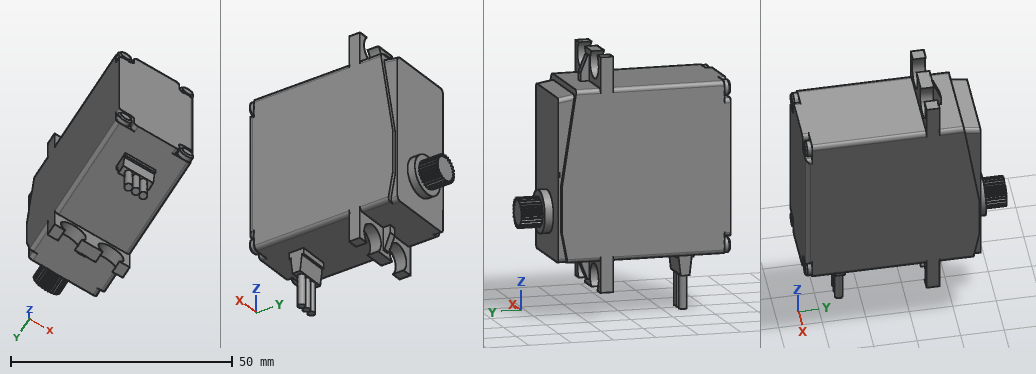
import cadquery as cq
import math


case_width = 20.0
case_height = 40.0
case_half_width = case_width / 2
mid_height = case_height / 2
edge_radius = 1.0
rear_cover_depth = 11.0

shoulder_bottom_y = 38.45
shoulder_peak_y = 39.8
shoulder_top_y = 36.4
shoulder_flat_bottom = 7.0
shoulder_flat_top = 18.0

lid_half_width = case_half_width - edge_radius
lid_front_y = 40.4
lid_top_front = 38.1
lid_top_rear = 38.85
lid_root_y = 36.0
lid_notch_height = 1.0
lid_notch_depth = 0.3
lid_notch_z = 20.4

flange_rear_y = 27.75
flange_thickness = 3.0
flange_front_y = flange_rear_y + flange_thickness
flange_height = 54.5
flange_reach = (flange_height - case_height) / 2
slot_radius = 3.35
slot_half_pitch_x = 5.0
slot_half_pitch_z = 24.75

rib_width = 1.8
rib_depth = 2.0
rib_tip_depth = 0.4
rib_square_reach = 2.0
rib_reach = 5.9

pocket_size = 4.0
pocket_depth = 1.5
pocket_radius = 1.0
screw_radius = 1.8
screw_inset = screw_radius
screw_chamfer = 0.4

outlet_width = 8.0
outlet_depth = 4.0
outlet_collar_drop = 1.5
outlet_drop = 5.75
outlet_y = rear_cover_depth - outlet_depth / 2
boot_root_depth = 3.1
boot_tip_depth = 2.1
wire_count = 3
wire_diameter = 1.85
wire_pitch = 1.95
overall_height = 61.0
wire_end_z = mid_height + flange_height / 2 - overall_height

shaft_z = 10.25
boss_diameter = 10.0
boss_front_y = 42.4
shaft_end_y = 47.4
tooth_count = 25
tooth_tip_radius = 3.5
tooth_root_radius = 3.0
tooth_pitch_angle = 2 * math.pi / tooth_count
tooth_tip_fraction = 0.2
tooth_root_fraction = 0.8
tooth_tip_half_angle = tooth_tip_fraction * tooth_pitch_angle / 2
tooth_root_half_angle = tooth_root_fraction * tooth_pitch_angle / 2
first_tooth_angle = math.pi / 2


def yz_prism(points, half_width):
    """Prism of a (y, z) outline, centred on X = 0."""
    return cq.Workplane("YZ").polyline(points).close().extrude(half_width, both=True)


def block(x_range, y_range, z_range):
    """Axis-aligned box between the given limits."""
    lows, highs = zip(x_range, y_range, z_range)
    sizes = [high - low for low, high in zip(lows, highs)]
    return cq.Workplane("XY").box(*sizes, centered=False).translate(lows)


def y_cylinder(x, z, radius, y_start, y_end):
    """Cylinder along Y."""
    plane = cq.Workplane("XZ", origin=(x, y_start, z))
    return plane.circle(radius).extrude(y_start - y_end)


def make_case():
    """Rounded case with its sloping front and one rounded upright edge at the rear."""
    front = yz_prism(
        [
            (0, 0),
            (shoulder_bottom_y, 0),
            (shoulder_peak_y, shoulder_flat_bottom),
            (shoulder_peak_y, shoulder_flat_top),
            (shoulder_top_y, case_height),
            (0, case_height),
        ],
        case_half_width,
    )
    envelope = block(
        (-case_half_width, case_half_width), (0, shoulder_peak_y), (0, case_height)
    )
    long_edges_rounded = envelope.edges("|Y").fillet(edge_radius)
    rear_edge_rounded = envelope.edges("|Z and >X and <Y").fillet(edge_radius)
    return long_edges_rounded.intersect(rear_edge_rounded).intersect(front)


def make_lid():
    """Raised lid with a sloping top end, rounded corners and a small notch in one side."""
    lid = yz_prism(
        [
            (lid_root_y, 0),
            (lid_front_y, 0),
            (lid_front_y, lid_top_front),
            (lid_root_y, lid_top_rear),
        ],
        lid_half_width,
    )
    lid = lid.faces("<Z").edges("|Y").fillet(edge_radius)
    lid = lid.faces(">Z").edges("not |X").fillet(edge_radius)
    notch = block(
        (-lid_half_width, -lid_half_width + lid_notch_depth),
        (lid_front_y - lid_notch_depth, lid_front_y),
        (lid_notch_z - lid_notch_height / 2, lid_notch_z + lid_notch_height / 2),
    )
    return lid.cut(notch)


def make_flange():
    """Flange with four open screw slots."""
    flange = block(
        (-case_half_width, case_half_width),
        (flange_rear_y, flange_front_y),
        (-flange_reach, case_height + flange_reach),
    )
    for side in (-1, 1):
        for end in (-1, 1):
            slot = y_cylinder(
                side * slot_half_pitch_x,
                mid_height + end * slot_half_pitch_z,
                slot_radius,
                flange_rear_y,
                flange_front_y,
            )
            flange = flange.cut(slot)
    return flange


def make_rib():
    """Tapering rib between the top of the case and the flange."""
    return yz_prism(
        [
            (flange_front_y, case_height),
            (flange_front_y + rib_depth, case_height),
            (flange_front_y + rib_depth, case_height + rib_square_reach),
            (flange_front_y + rib_tip_depth, case_height + rib_reach),
            (flange_front_y, case_height + rib_reach),
        ],
        rib_width / 2,
    )


def make_corner_pocket():
    """Cutter for the upper +X screw corner, flaring out where it meets the case sides."""
    wall_x = case_half_width - pocket_size
    wall_z = case_height - pocket_size
    bend = pocket_radius * (1 - math.sqrt(0.5))
    outline = (
        cq.Workplane("XZ")
        .moveTo(case_half_width, case_height)
        .lineTo(wall_x - pocket_radius, case_height)
        .threePointArc(
            (wall_x - bend, case_height - bend),
            (wall_x, case_height - pocket_radius),
        )
        .lineTo(wall_x, wall_z + pocket_radius)
        .threePointArc(
            (wall_x + bend, wall_z + bend),
            (wall_x + pocket_radius, wall_z),
        )
        .lineTo(case_half_width - pocket_radius, wall_z)
        .threePointArc(
            (case_half_width - bend, wall_z - bend),
            (case_half_width, wall_z - pocket_radius),
        )
        .close()
    )
    return outline.extrude(-pocket_depth)


def make_screw():
    """Chamfered screw head in the upper +X corner."""
    screw = y_cylinder(
        case_half_width - screw_inset, case_height - screw_inset, screw_radius, 0, pocket_depth
    )
    return screw.faces("<Y").chamfer(screw_chamfer)


def at_four_corners(shape):
    """Copies of an upper +X corner shape at all four corners of the case."""
    copies = []
    for right_or_left in (shape, shape.mirror("YZ")):
        copies.append(right_or_left)
        copies.append(right_or_left.mirror("XY", (0, 0, mid_height)))
    return copies


def make_cable_outlet():
    """Strain relief below the case with the wires leaving it."""
    outlet = block(
        (-outlet_width / 2, outlet_width / 2),
        (outlet_y - outlet_depth / 2, outlet_y + outlet_depth / 2),
        (-outlet_collar_drop, 0),
    )
    boot = yz_prism(
        [
            (outlet_y - boot_root_depth / 2, -outlet_collar_drop),
            (outlet_y + boot_root_depth / 2, -outlet_collar_drop),
            (outlet_y + boot_tip_depth / 2, -outlet_drop),
            (outlet_y - boot_tip_depth / 2, -outlet_drop),
        ],
        outlet_width / 2,
    )
    outlet = outlet.union(boot)
    for index in range(wire_count):
        x = (index - (wire_count - 1) / 2) * wire_pitch
        wire = cq.Workplane("XY", origin=(x, outlet_y, wire_end_z)).circle(wire_diameter / 2)
        outlet = outlet.union(wire.extrude(-outlet_drop - wire_end_z))
    return outlet


def make_housing():
    """Case, lid, flange, screws, cable outlet and shaft boss as one solid."""
    housing = make_case()
    for pocket in at_four_corners(make_corner_pocket()):
        housing = housing.cut(pocket)
    for screw in at_four_corners(make_screw()):
        housing = housing.union(screw)
    housing = housing.union(make_lid()).union(make_flange())
    rib = make_rib()
    housing = housing.union(rib).union(rib.mirror("XY", (0, 0, mid_height)))
    housing = housing.union(make_cable_outlet())
    return housing.union(y_cylinder(0, shaft_z, boss_diameter / 2, lid_front_y, boss_front_y))


def make_shaft():
    """Splined output shaft standing on the boss."""
    corners = [
        (-tooth_root_half_angle, tooth_root_radius),
        (-tooth_tip_half_angle, tooth_tip_radius),
        (tooth_tip_half_angle, tooth_tip_radius),
        (tooth_root_half_angle, tooth_root_radius),
    ]
    points = []
    for index in range(tooth_count):
        tooth_angle = first_tooth_angle + index * tooth_pitch_angle
        for offset, radius in corners:
            angle = tooth_angle + offset
            points.append((radius * math.cos(angle), radius * math.sin(angle)))
    spline = cq.Workplane("XZ", origin=(0, boss_front_y, shaft_z)).polyline(points).close()
    return spline.extrude(boss_front_y - shaft_end_y)


housing = make_housing()
shaft = make_shaft()
result = cq.Compound.makeCompound([housing.val(), shaft.val()])